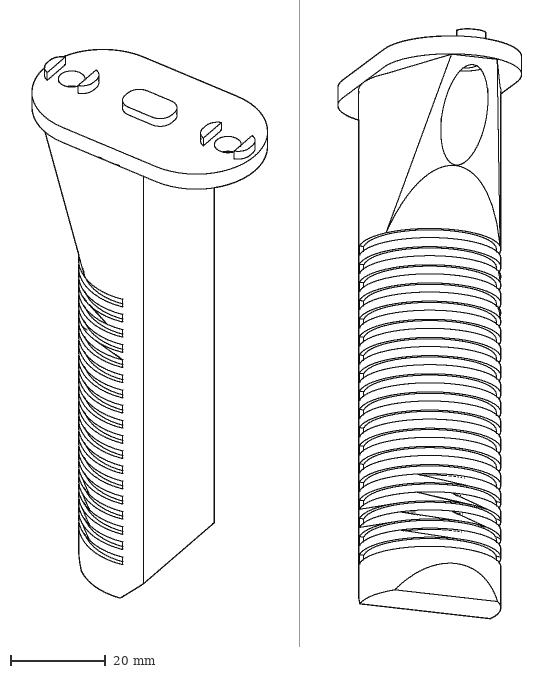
import cadquery as cq
import math

total_height = 120.0
plate_length = 54.0
shaft_diameter = 30.0
shaft_radius = shaft_diameter / 2

pad_height = 2.0
plate_thickness = 4.0
plate_top = total_height - pad_height
plate_bottom = plate_top - plate_thickness

flat_x = shaft_diameter / 4
front_bevel = 5.5
flat_side_bevel = 4.8

groove_count = 18
groove_first_bottom = 9.0
groove_band_length = 70.0
groove_height = groove_band_length / (2 * groove_count - 1)
groove_pitch = 2 * groove_height
groove_depth = 1.0
groove_end_x = 3.2

gusset_tip_x = -25.8
gusset_tip_width = 10.3
gusset_root_x = -7.7
gusset_root_z = groove_first_bottom + groove_band_length

hole_offset = 20.0
hole_diameter = 5.6
counterbore_diameter = 10.0
pad_length = 12.0
pad_width = 7.0
pad_corner_radius = 3.0
pad_gap = 7.9


def make_shaft():
    bar = cq.Workplane("XY").circle(shaft_radius).extrude(plate_top)
    side_profile = (
        cq.Workplane("XZ")
        .moveTo(-shaft_radius + front_bevel, 0)
        .lineTo(flat_x - flat_side_bevel, 0)
        .lineTo(flat_x, flat_side_bevel)
        .lineTo(flat_x, plate_top)
        .lineTo(-shaft_radius, plate_top)
        .lineTo(-shaft_radius, front_bevel)
        .close()
        .extrude(shaft_radius, both=True)
    )
    return bar.intersect(side_profile)


def make_groove(bottom_z):
    cutter_size = 2 * shaft_diameter
    grooved_side = (
        cq.Workplane("XY", origin=(groove_end_x - cutter_size / 2, 0, bottom_z))
        .rect(cutter_size, cutter_size)
        .extrude(groove_height)
    )
    core = (
        cq.Workplane("XY", origin=(0, 0, bottom_z))
        .circle(shaft_radius - groove_depth)
        .extrude(groove_height)
    )
    return grooved_side.cut(core)


def make_plate():
    return (
        cq.Workplane("XY", origin=(0, 0, plate_bottom))
        .slot2D(plate_length, shaft_diameter)
        .extrude(plate_thickness)
    )


def make_gusset():
    root_half_width = math.sqrt(shaft_radius**2 - gusset_root_x**2)
    tip_half_width = gusset_tip_width / 2
    plan = (
        cq.Workplane("XY", origin=(0, 0, gusset_root_z))
        .moveTo(gusset_tip_x, -tip_half_width)
        .lineTo(gusset_root_x, -root_half_width)
        .lineTo(gusset_root_x, root_half_width)
        .lineTo(gusset_tip_x, tip_half_width)
        .close()
        .extrude(plate_bottom - gusset_root_z)
    )
    slope = (
        cq.Workplane("XZ")
        .moveTo(gusset_tip_x, plate_bottom)
        .lineTo(gusset_root_x, plate_bottom)
        .lineTo(gusset_root_x, gusset_root_z)
        .close()
        .extrude(shaft_radius, both=True)
    )
    return plan.intersect(slope)


def make_pad(center_x):
    return (
        cq.Workplane("XY", origin=(center_x, 0, plate_top))
        .rect(pad_length, pad_width)
        .extrude(pad_height)
        .edges("|Z")
        .fillet(pad_corner_radius)
    )


def make_split_pad(center_x):
    gap = (
        cq.Workplane("XY", origin=(center_x, 0, plate_top))
        .rect(pad_gap, pad_width)
        .extrude(pad_height)
    )
    return make_pad(center_x).cut(gap)


def make_hole(center_x, diameter, bottom_z, top_z):
    return (
        cq.Workplane("XY", origin=(center_x, 0, bottom_z))
        .circle(diameter / 2)
        .extrude(top_z - bottom_z)
    )


result = make_shaft()
for groove_index in range(groove_count):
    result = result.cut(make_groove(groove_first_bottom + groove_index * groove_pitch))

result = result.union(make_gusset()).union(make_plate()).union(make_pad(0))
for hole_x in (-hole_offset, hole_offset):
    result = result.union(make_split_pad(hole_x))
    result = result.cut(make_hole(hole_x, hole_diameter, plate_bottom, plate_top))

result = result.cut(make_hole(-hole_offset, counterbore_diameter, gusset_root_z, plate_bottom))